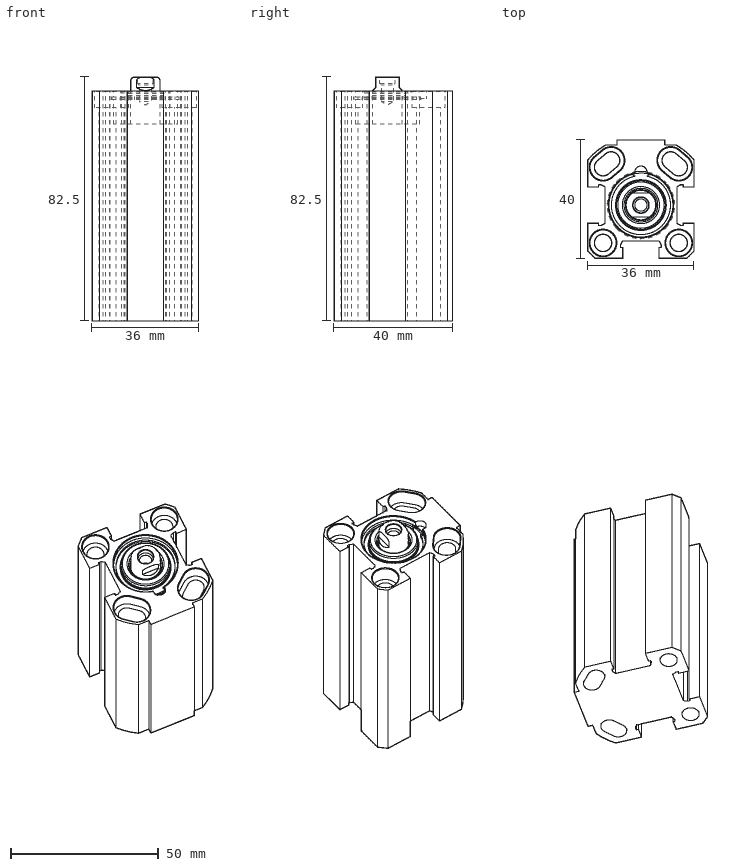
import cadquery as cq
import math

TOTAL_HEIGHT = 82.5
ROD_PROJECTION = 4.7
HOUSING_HEIGHT = TOTAL_HEIGHT - ROD_PROJECTION
HALF_WIDTH = 18.0

FRONT_CHAMFER = 2.5
BACK_SHOULDER_Y = 20.4
BACK_CORNER_RADIUS = 23.6
RIB_HALF_WIDTH = 8.1
RIB_HEIGHT = 1.65

GROOVE_HALF_WIDTH = 6.1
FLOOR_HALF_WIDTH = 6.2
GROOVE_FLOOR = 12.2
GROOVE_UNDERCUT = 0.75
LIP_DEPTH = 3.7
UNDERCUT_FLAT = 0.8

MOUNT_OFFSET = 12.8
MOUNT_DIAMETER = 5.8
COUNTERBORE_DIAMETER = 8.8
COUNTERBORE_DEPTH = 5.5
COUNTERBORE_CHAMFER = 0.25
MOUTH_TAPER = -45.0
SLOT_SHIFT_X = 2.7
SLOT_SHIFT_Y = 2.3

BORE_DIAMETER = 21.6
BORE_CHAMFER = 0.25
NOTCH_DIAMETER = 4.1
NOTCH_Y = 11.1
NOTCH_DEPTH = 2.6

RING_TOP = HOUSING_HEIGHT - 2.0
RING_THICKNESS = 1.0
RING_INNER_DIAMETER = 20.0
RING_OUTER_DIAMETER = 22.8
GAP_INNER_HALF_WIDTH = 2.1
GAP_OUTER_HALF_WIDTH = 3.7

COVER_SHOULDER = RING_TOP - RING_THICKNESS
COVER_FLANGE_THICKNESS = 8.25
COVER_BOTTOM = COVER_SHOULDER - COVER_FLANGE_THICKNESS
BOSS_TOP = HOUSING_HEIGHT - 0.25
BOSS_DIAMETER = 16.5
COLLAR_DIAMETER = 17.2
COLLAR_TOP = HOUSING_HEIGHT - 2.3
BOSS_CHAMFER = 0.4
WIPER_DIAMETER = 11.4
WIPER_DEPTH = 1.2
CLEARANCE_DIAMETER = 10.5
CLEARANCE_DEPTH = 2.5
WIPER_CHAMFER = 0.6

ROD_DIAMETER = 10.0
ROD_TOP_FILLET = 1.3
ROD_FLAT_WIDTH = 8.0
ROD_FLAT_LENGTH = 3.55
CUT_CLEARANCE = 0.8
SOCKET_DIAMETER = 5.3
SOCKET_CHAMFER = 0.2
SOCKET_DEPTH = 2.15
DRILL_DIAMETER = 4.1
DRILL_DEPTH = 8.25
DRILL_POINT_ANGLE = 118.0


def cylinder(diameter, bottom, top):
    """Cylinder on the rod axis between two heights."""
    return cq.Workplane("XY").workplane(offset=bottom).circle(diameter / 2).extrude(top - bottom)


def cone(bottom_diameter, top_diameter, bottom, top):
    """Frustum on the rod axis between two heights."""
    return cq.Workplane(cq.Solid.makeCone(
        bottom_diameter / 2, top_diameter / 2, top - bottom, cq.Vector(0, 0, bottom)))


def housing_block():
    """Extruded profile: chamfered front corners, rounded back corners and a back rib."""
    shoulder_x = math.sqrt(BACK_CORNER_RADIUS**2 - BACK_SHOULDER_Y**2)
    side_y = math.sqrt(BACK_CORNER_RADIUS**2 - HALF_WIDTH**2)
    middle_angle = (math.atan2(BACK_SHOULDER_Y, shoulder_x) + math.atan2(side_y, HALF_WIDTH)) / 2
    middle_x = BACK_CORNER_RADIUS * math.cos(middle_angle)
    middle_y = BACK_CORNER_RADIUS * math.sin(middle_angle)
    chamfer_start = HALF_WIDTH - FRONT_CHAMFER
    rib_y = BACK_SHOULDER_Y + RIB_HEIGHT
    return (
        cq.Workplane("XY")
        .moveTo(-chamfer_start, -HALF_WIDTH)
        .lineTo(chamfer_start, -HALF_WIDTH)
        .lineTo(HALF_WIDTH, -chamfer_start)
        .lineTo(HALF_WIDTH, side_y)
        .threePointArc((middle_x, middle_y), (shoulder_x, BACK_SHOULDER_Y))
        .lineTo(RIB_HALF_WIDTH, BACK_SHOULDER_Y)
        .lineTo(RIB_HALF_WIDTH, rib_y)
        .lineTo(-RIB_HALF_WIDTH, rib_y)
        .lineTo(-RIB_HALF_WIDTH, BACK_SHOULDER_Y)
        .lineTo(-shoulder_x, BACK_SHOULDER_Y)
        .threePointArc((-middle_x, middle_y), (-HALF_WIDTH, side_y))
        .lineTo(-HALF_WIDTH, -chamfer_start)
        .close()
        .extrude(HOUSING_HEIGHT)
    )


def sensor_groove(angle):
    """Undercut groove along the full height; at angle 0 it opens toward +X."""
    lip_x = HALF_WIDTH - LIP_DEPTH
    wide = GROOVE_HALF_WIDTH + GROOVE_UNDERCUT
    upper_half = [
        (HALF_WIDTH, GROOVE_HALF_WIDTH),
        (lip_x, GROOVE_HALF_WIDTH),
        (lip_x, wide),
        (lip_x - UNDERCUT_FLAT, wide),
        (GROOVE_FLOOR, FLOOR_HALF_WIDTH),
    ]
    lower_half = [(x, -y) for x, y in reversed(upper_half)]
    groove = cq.Workplane("XY").polyline(upper_half + lower_half).close().extrude(HOUSING_HEIGHT)
    return groove.rotate((0, 0, 0), (0, 0, 1), angle)


def mounting_hole(x, y, shift_x, shift_y):
    """Counterbored through hole, stretched into a slot from (x, y) by the given shift."""
    slot_length = math.hypot(shift_x, shift_y)

    def opening(diameter, bottom, taper=0):
        plane = cq.Workplane("XY").workplane(offset=bottom)
        if slot_length > 0:
            angle = math.degrees(math.atan2(shift_y, shift_x))
            middle = plane.center(x + shift_x / 2, y + shift_y / 2)
            outline = middle.slot2D(slot_length + diameter, diameter, angle)
        else:
            outline = plane.center(x, y).circle(diameter / 2)
        return outline.extrude(HOUSING_HEIGHT - bottom, taper=taper)

    counterbore = opening(COUNTERBORE_DIAMETER, HOUSING_HEIGHT - COUNTERBORE_DEPTH)
    mouth = opening(COUNTERBORE_DIAMETER, HOUSING_HEIGHT - COUNTERBORE_CHAMFER, MOUTH_TAPER)
    return opening(MOUNT_DIAMETER, 0).union(counterbore).union(mouth)


def make_housing():
    """Profile with sensor grooves, four mounting holes, the cover bore and a notch to reach the ring."""
    housing = housing_block()
    for angle in (0, 180, 270):
        housing = housing.cut(sensor_groove(angle))
    for side in (-1, 1):
        housing = housing.cut(mounting_hole(side * MOUNT_OFFSET, -MOUNT_OFFSET, 0, 0))
        housing = housing.cut(
            mounting_hole(side * MOUNT_OFFSET, MOUNT_OFFSET, -side * SLOT_SHIFT_X, SLOT_SHIFT_Y))
    housing = housing.cut(cylinder(BORE_DIAMETER, COVER_BOTTOM, HOUSING_HEIGHT))
    housing = housing.cut(cylinder(RING_OUTER_DIAMETER, COVER_SHOULDER, RING_TOP))
    mouth_diameter = BORE_DIAMETER + 2 * BORE_CHAMFER
    housing = housing.cut(
        cone(BORE_DIAMETER, mouth_diameter, HOUSING_HEIGHT - BORE_CHAMFER, HOUSING_HEIGHT))
    notch = cylinder(NOTCH_DIAMETER, HOUSING_HEIGHT - NOTCH_DEPTH, HOUSING_HEIGHT)
    return housing.cut(notch.translate((0, NOTCH_Y, 0)))


def make_retaining_ring():
    """Flat open ring in the bore groove, with a gap toward +Y that widens outward."""
    ring = cylinder(RING_OUTER_DIAMETER, COVER_SHOULDER, RING_TOP)
    ring = ring.cut(cylinder(RING_INNER_DIAMETER, COVER_SHOULDER, RING_TOP))
    inner_y = math.sqrt((RING_INNER_DIAMETER / 2)**2 - GAP_INNER_HALF_WIDTH**2)
    outer_y = math.sqrt((RING_OUTER_DIAMETER / 2)**2 - GAP_OUTER_HALF_WIDTH**2)
    gap = (
        cq.Workplane("XY")
        .workplane(offset=COVER_SHOULDER)
        .moveTo(-GAP_INNER_HALF_WIDTH, inner_y)
        .lineTo(GAP_INNER_HALF_WIDTH, inner_y)
        .lineTo(GAP_OUTER_HALF_WIDTH, outer_y)
        .lineTo(GAP_OUTER_HALF_WIDTH, RING_OUTER_DIAMETER)
        .lineTo(-GAP_OUTER_HALF_WIDTH, RING_OUTER_DIAMETER)
        .lineTo(-GAP_OUTER_HALF_WIDTH, outer_y)
        .close()
        .extrude(RING_THICKNESS)
    )
    return ring.cut(gap)


def make_rod_cover():
    """Flange below the ring, with a stepped boss and a stepped hole that guides the rod."""
    flange = cylinder(BORE_DIAMETER, COVER_BOTTOM, COVER_SHOULDER)
    boss = cylinder(BOSS_DIAMETER, COVER_SHOULDER, BOSS_TOP)
    boss = boss.faces(">Z").edges().chamfer(BOSS_CHAMFER)
    collar = cylinder(COLLAR_DIAMETER, COVER_SHOULDER, COLLAR_TOP)
    cover = flange.union(collar).union(boss)
    cover = cover.cut(cylinder(ROD_DIAMETER, COVER_BOTTOM, BOSS_TOP))
    cover = cover.cut(cylinder(WIPER_DIAMETER, BOSS_TOP - WIPER_DEPTH, BOSS_TOP))
    cover = cover.cut(cylinder(CLEARANCE_DIAMETER, BOSS_TOP - CLEARANCE_DEPTH, BOSS_TOP))
    return cover.cut(cone(
        WIPER_DIAMETER, WIPER_DIAMETER + 2 * WIPER_CHAMFER, BOSS_TOP - WIPER_CHAMFER, BOSS_TOP))


def wrench_flat(side):
    """Material removed beside one wrench flat, with a 45 degree run-out at its lower end."""
    flat_y = ROD_FLAT_WIDTH / 2
    cut_depth = ROD_DIAMETER / 2 - flat_y + CUT_CLEARANCE
    flat_bottom = TOTAL_HEIGHT - ROD_FLAT_LENGTH
    profile = [
        (side * flat_y, TOTAL_HEIGHT),
        (side * flat_y, flat_bottom),
        (side * (flat_y + cut_depth), flat_bottom - cut_depth),
        (side * (flat_y + cut_depth), TOTAL_HEIGHT),
    ]
    return cq.Workplane("YZ").polyline(profile).close().extrude(ROD_DIAMETER / 2, both=True)


def make_rod():
    """Round-edged rod with two wrench flats and a blind axial hole."""
    rod = cylinder(ROD_DIAMETER, COVER_BOTTOM, TOTAL_HEIGHT).faces(">Z").edges().fillet(ROD_TOP_FILLET)
    for side in (-1, 1):
        rod = rod.cut(wrench_flat(side))
    socket_bottom = TOTAL_HEIGHT - SOCKET_DEPTH
    socket_cone_length = (SOCKET_DIAMETER - DRILL_DIAMETER) / 2
    rod = rod.cut(cylinder(SOCKET_DIAMETER, socket_bottom, TOTAL_HEIGHT))
    rod = rod.cut(cone(
        SOCKET_DIAMETER, SOCKET_DIAMETER + 2 * SOCKET_CHAMFER, TOTAL_HEIGHT - SOCKET_CHAMFER, TOTAL_HEIGHT))
    rod = rod.cut(cone(DRILL_DIAMETER, SOCKET_DIAMETER, socket_bottom - socket_cone_length, socket_bottom))
    drill_bottom = TOTAL_HEIGHT - DRILL_DEPTH
    point_length = DRILL_DIAMETER / 2 / math.tan(math.radians(DRILL_POINT_ANGLE / 2))
    rod = rod.cut(cylinder(DRILL_DIAMETER, drill_bottom, TOTAL_HEIGHT))
    return rod.cut(cone(0, DRILL_DIAMETER, drill_bottom - point_length, drill_bottom))


housing = make_housing()
retaining_ring = make_retaining_ring()
rod_cover = make_rod_cover()
rod = make_rod()

result = cq.Compound.makeCompound([housing.val(), retaining_ring.val(), rod_cover.val(), rod.val()])